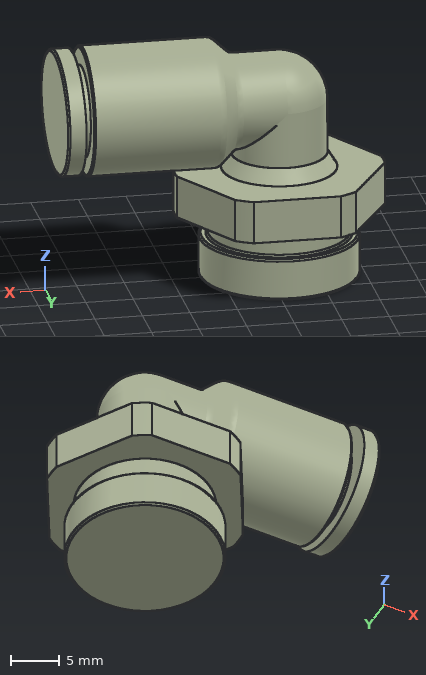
import cadquery as cq
import math


thread_diameter = 16.67
thread_top = 4.45
thread_chamfer = 0.2
neck_diameter = 14.8
neck_flare = 0.2

hex_across_flats = 20.0
hex_corner_diameter = 22.0
hex_bottom = 7.15
hex_height = 4.53
hex_top = hex_bottom + hex_height

elbow_diameter = 10.0
foot_diameter = 12.05
foot_height = 1.63
overall_height = 26.0

socket_diameter = 13.6
shoulder_start = 5.0
shoulder_end = 6.95
shoulder_radius = 0.97
socket_end = 20.72
socket_chamfer = 0.17
tube_axis_height = overall_height - socket_diameter / 2

sleeve_diameter = 9.6
ring_width = 15.05
ring_height = 13.0
ring_thickness = 1.9
ring_chamfer = 0.2
overall_length = 34.6
ring_end = overall_length - hex_corner_diameter / 2
ring_start = ring_end - ring_thickness


def make_stud():
    """Chamfered thread cylinder with a plain neck that flares where it meets the thread."""
    thread_radius = thread_diameter / 2
    neck_radius = neck_diameter / 2
    profile = [
        (0, 0),
        (thread_radius - thread_chamfer, 0),
        (thread_radius, thread_chamfer),
        (thread_radius, thread_top - thread_chamfer),
        (thread_radius - thread_chamfer, thread_top),
        (neck_radius + neck_flare, thread_top),
        (neck_radius, thread_top + neck_flare),
        (neck_radius, hex_bottom),
        (0, hex_bottom),
    ]
    return cq.Workplane("XZ").polyline(profile).close().revolve(360, (0, 0), (0, 1))


def make_hexagon():
    """Hexagon with flats facing +Y and -Y, its corners rounded to a common cylinder."""
    sharp_diameter = hex_across_flats / math.cos(math.radians(30))
    base = cq.Workplane("XY").workplane(offset=hex_bottom)
    prism = base.polygon(6, sharp_diameter).extrude(hex_height)
    return prism.intersect(base.circle(hex_corner_diameter / 2).extrude(hex_height))


def make_column():
    """Conical foot and upright cylinder, closed by a ball at the bend."""
    radius = elbow_diameter / 2
    profile = [
        (0, hex_top),
        (foot_diameter / 2, hex_top),
        (radius, hex_top + foot_height),
        (radius, tube_axis_height),
        (0, tube_axis_height),
    ]
    upright = cq.Workplane("XZ").polyline(profile).close().revolve(360, (0, 0), (0, 1))
    ball = cq.Workplane("XY").sphere(radius).translate((0, 0, tube_axis_height))
    return upright.union(ball)


def make_arm():
    """Horizontal elbow leg widening through a rounded shoulder into the tube socket."""
    leg_radius = elbow_diameter / 2
    socket_radius = socket_diameter / 2
    profile = [
        (0, 0),
        (0, leg_radius),
        (shoulder_start, leg_radius),
        (shoulder_end, socket_radius),
        (socket_end, socket_radius),
        (socket_end, 0),
    ]
    arm = cq.Workplane("XZ").polyline(profile).close().revolve(360, (0, 0), (1, 0))
    arm = arm.faces("%CONE").edges("%CIRCLE").fillet(shoulder_radius)
    arm = arm.faces(">X").edges().chamfer(socket_chamfer)
    return arm.translate((0, 0, tube_axis_height))


def make_sleeve():
    """Round sleeve leaving the socket, ending in an elliptical ring chamfered outside."""
    socket_face = cq.Workplane("YZ", origin=(socket_end, 0, tube_axis_height))
    sleeve = socket_face.circle(sleeve_diameter / 2).extrude(ring_start - socket_end)
    ring_face = cq.Workplane("YZ", origin=(ring_start, 0, tube_axis_height))
    ring = ring_face.ellipse(ring_width / 2, ring_height / 2).extrude(ring_thickness)
    ring = ring.faces(">X").edges().chamfer(ring_chamfer)
    return sleeve.union(ring)


result = (
    make_stud()
    .union(make_hexagon())
    .union(make_column())
    .union(make_arm())
    .union(make_sleeve())
)